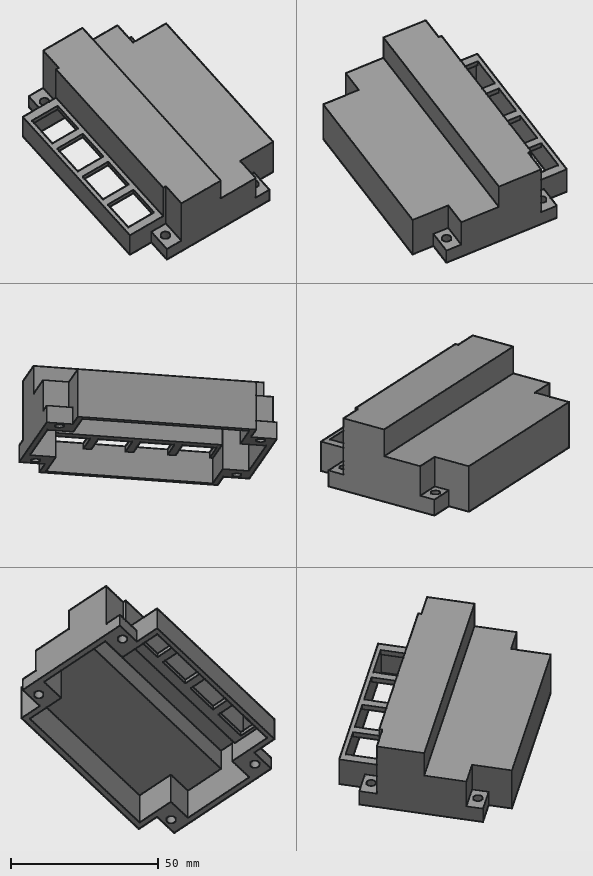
import cadquery as cq

length = 80.0
depth = 60.0
height = 27.0
wall = 2.0

center_length = 62.0
rear_y = depth / 2
front_y = -depth / 2

low_height = 17.0
shelf_height = 11.0
step_y = 1.5
shelf_back_y = -16.1

body_rear_y = 16.2
body_front_y = -15.0

tab_height = 6.0
tab_rear_y = 21.9
tab_front_y = -21.0
hole_diameter = 3.2
hole_x = 35.0
hole_rear_y = 19.0
hole_front_y = -18.0

window_count = 4
window_length = 11.8
window_depth = 10.7
window_pitch = 14.6
window_y = -23.0
window_front_y = window_y - window_depth / 2


def block(x_length, y_min, y_max, top):
    """Box centred on X, standing on the base plane."""
    return (
        cq.Workplane("XY")
        .box(x_length, y_max - y_min, top, centered=(True, False, False))
        .translate((0, y_min, 0))
    )


def outer_shape():
    """Stepped central block and wide body, standing on the tab plate."""
    shape = block(length, tab_front_y, tab_rear_y, tab_height)
    shape = shape.union(block(center_length, front_y, rear_y, shelf_height))
    shape = shape.union(block(center_length, shelf_back_y, rear_y, low_height))
    shape = shape.union(block(center_length, shelf_back_y, step_y, height))
    shape = shape.union(block(length, body_front_y, body_rear_y, low_height))
    return shape.union(block(length, body_front_y, step_y, height))


def cavity():
    """Hollow open at the base: front flush with the windows, other walls uniform, solid tabs."""
    inner_center = center_length - 2 * wall
    inner_length = length - 2 * wall
    inner_step_y = step_y - wall
    space = block(inner_center, window_front_y, rear_y - wall, shelf_height - wall)
    space = space.union(block(inner_center, shelf_back_y + wall, rear_y - wall, low_height - wall))
    space = space.union(block(inner_center, shelf_back_y + wall, inner_step_y, height - wall))
    space = space.union(block(inner_length, body_front_y + wall, body_rear_y - wall, low_height - wall))
    return space.union(block(inner_length, body_front_y + wall, inner_step_y, height - wall))


def windows():
    """Rectangular openings through the roof of the front shelf."""
    return (
        cq.Workplane("XY")
        .workplane(offset=shelf_height - wall)
        .center(0, window_y)
        .rarray(window_pitch, 0.8, window_count, 1)
        .rect(window_length, window_depth)
        .extrude(wall)
    )


def tab_holes():
    """One vertical through hole in each mounting tab."""
    centers = [(side * hole_x, y) for side in (-1, 1) for y in (hole_rear_y, hole_front_y)]
    return cq.Workplane("XY").pushPoints(centers).circle(hole_diameter / 2).extrude(tab_height)


result = outer_shape().cut(cavity()).cut(windows()).cut(tab_holes())